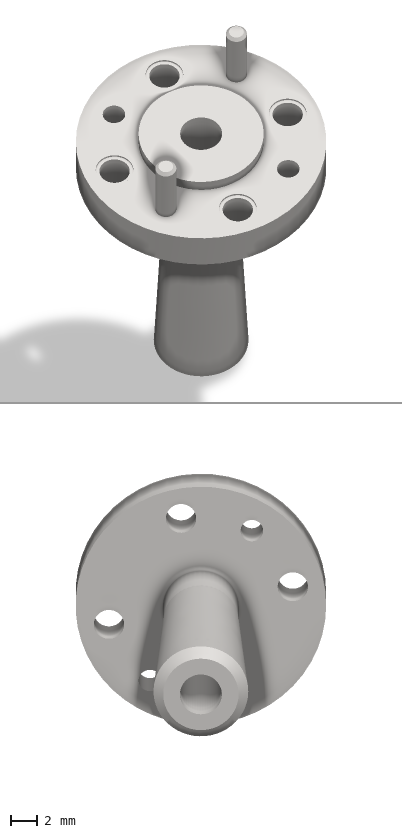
import cadquery as cq

flange_diameter = 19.05
flange_bottom = 21.33
flange_thickness = 3.13
flange_top = flange_bottom + flange_thickness
boss_diameter = 9.5
boss_height = 0.95

neck_diameter = 5.75
neck_bottom = 17.5
mouth_diameter = 7.2
mouth_chamfer = 0.75
neck_fillet = 0.3
bore_diameter = 3.2

screw_circle_diameter = 14.3
screw_hole_diameter = 2.3
counterbore_diameter = 2.87
counterbore_depth = 0.15

alignment_circle_diameter = 14.3
alignment_hole_diameter = 1.7
pin_diameter = 1.6
pin_top = 29.55
pin_chamfer = 0.25


def cylinder_ring(diameter, circle_diameter, start_angle, count, bottom, top):
    """Equally spaced vertical cylinders around the part axis."""
    base = cq.Workplane("XY").workplane(offset=bottom)
    centers = base.polarArray(circle_diameter / 2, start_angle, 360, count)
    return centers.circle(diameter / 2).extrude(top - bottom)


def make_body():
    """Revolve the horn, the flange and the boss as one profile."""
    boss_top = flange_top + boss_height
    profile = (
        cq.Workplane("XZ")
        .lineTo(mouth_diameter / 2 - mouth_chamfer, 0)
        .lineTo(mouth_diameter / 2, mouth_chamfer)
        .lineTo(neck_diameter / 2, neck_bottom)
        .lineTo(neck_diameter / 2, flange_bottom - neck_fillet)
        .radiusArc((neck_diameter / 2 + neck_fillet, flange_bottom), neck_fillet)
        .lineTo(flange_diameter / 2, flange_bottom)
        .lineTo(flange_diameter / 2, flange_top)
        .lineTo(boss_diameter / 2, flange_top)
        .lineTo(boss_diameter / 2, boss_top)
        .lineTo(0, boss_top)
        .close()
    )
    return profile.revolve(360, (0, 0), (0, 1))


def cut_bore(body):
    """Open the waveguide bore along the whole axis."""
    bore = cq.Workplane("XY").circle(bore_diameter / 2).extrude(flange_top + boss_height)
    return body.cut(bore)


def cut_screw_holes(body):
    screw_circle = (screw_circle_diameter, 0, 4)
    holes = cylinder_ring(screw_hole_diameter, *screw_circle, flange_bottom, flange_top)
    counterbore_floor = flange_top - counterbore_depth
    counterbores = cylinder_ring(counterbore_diameter, *screw_circle, counterbore_floor, flange_top)
    return body.cut(holes).cut(counterbores)


def cut_alignment_holes(body):
    holes = cylinder_ring(
        alignment_hole_diameter, alignment_circle_diameter, 45, 2, flange_bottom, flange_top
    )
    return body.cut(holes)


def make_pins():
    """Pins run through the flange and end flush with its underside."""
    pins = cylinder_ring(pin_diameter, alignment_circle_diameter, 135, 2, flange_bottom, pin_top)
    return pins.faces(">Z").chamfer(pin_chamfer)


body = cut_bore(make_body())
body = cut_screw_holes(body)
body = cut_alignment_holes(body)
result = body.union(make_pins())